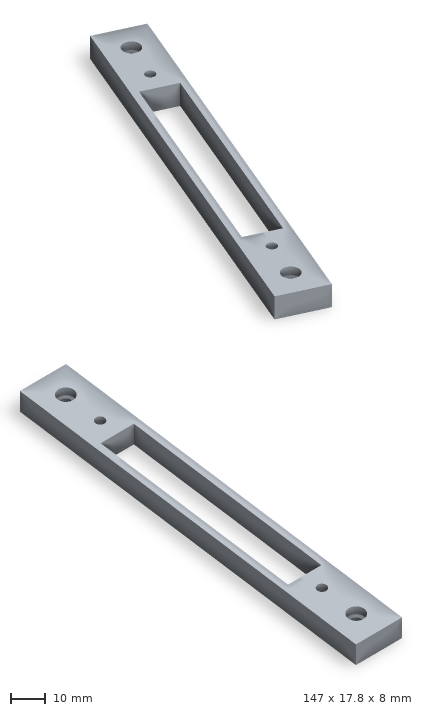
import cadquery as cq

length = 147.0
width = 17.8
thickness = 8.0

window_length = 82.0
window_width = 12.8

hole_diameter = 3.6
inner_hole_spacing = 97.0
outer_hole_spacing = 127.0

counterbore_diameter = 6.28
counterbore_depth = 3.0


def make_bar():
    return cq.Workplane("XY").box(length, width, thickness, centered=(True, True, False))


def cut_window(body):
    return body.faces(">Z").workplane().rect(window_length, window_width).cutThruAll()


def hole_pair(spacing):
    return [(-spacing / 2, 0), (spacing / 2, 0)]


def cut_inner_holes(body):
    top = body.faces(">Z").workplane()
    return top.pushPoints(hole_pair(inner_hole_spacing)).hole(hole_diameter)


def cut_outer_holes(body):
    top = body.faces(">Z").workplane()
    return top.pushPoints(hole_pair(outer_hole_spacing)).cboreHole(
        hole_diameter, counterbore_diameter, counterbore_depth
    )


result = cut_outer_holes(cut_inner_holes(cut_window(make_bar())))